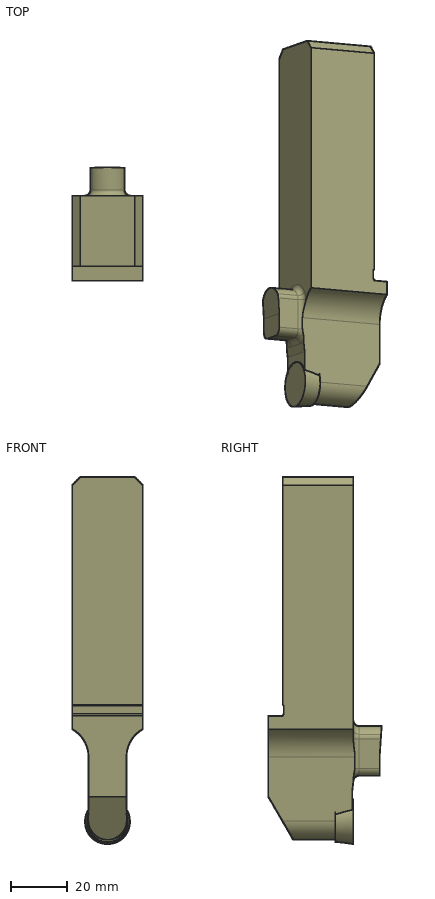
import cadquery as cq
import math

shank_width = 24.9
total_height = 129.0
total_depth = 39.9
top_chamfer = 3.0

head_depth = 29.9
shoulder_z = 45.0
relief_top_z = 49.0
relief_depth = 0.4
corner_height = 0.8
flare_top_z = 40.4
flare_bottom_z = 30.7
blade_half_width = 6.7
blade_bottom_z = 1.5
nose_slope_top_z = 16.6
nose_bottom_depth = 21.2
face_slope_top_z = 21.9
face_slope_bottom_z = 18.7
face_relief = 0.4

boss_half_width = 6.0
boss_bottom_z = 24.0
boss_top_radius = 6.8
boss_top_z = 41.5
boss_corner_radius = 2.7
boss_flat_length = 9.3
boss_slope_start_z = 31.6
boss_fillet = 1.9

insert_radius = 7.93
insert_back_radius = 7.16
insert_thickness = 6.3

half_width = shank_width / 2
boss_length = total_depth - head_depth
boss_side_top_z = boss_top_z - boss_top_radius + math.sqrt(boss_top_radius**2 - boss_half_width**2)
flare_side = half_width - blade_half_width
flare_height = flare_top_z - flare_bottom_z
flare_radius = (flare_side**2 + flare_height**2) / (2 * flare_side)
flare_angle = math.asin(flare_height / flare_radius)


def make_silhouette():
    """Width profile: chamfered shank, flared neck and round-ended blade."""
    flare_middle_x = blade_half_width + flare_radius * (1 - math.cos(flare_angle / 2))
    flare_middle_z = flare_bottom_z + flare_radius * math.sin(flare_angle / 2)
    blade_round_z = blade_bottom_z + blade_half_width
    top_half_width = half_width - top_chamfer
    return (
        cq.Workplane("XZ")
        .moveTo(-blade_half_width, blade_round_z)
        .threePointArc((0, blade_bottom_z), (blade_half_width, blade_round_z))
        .lineTo(blade_half_width, flare_bottom_z)
        .threePointArc((flare_middle_x, flare_middle_z), (half_width, flare_top_z))
        .lineTo(half_width, total_height - top_chamfer)
        .lineTo(top_half_width, total_height)
        .lineTo(-top_half_width, total_height)
        .lineTo(-half_width, total_height - top_chamfer)
        .lineTo(-half_width, flare_top_z)
        .threePointArc((-flare_middle_x, flare_middle_z), (-blade_half_width, flare_bottom_z))
        .close()
        .extrude(total_depth, both=True)
    )


def make_side_slab():
    """Depth profile with the shoulder, its relief and the sloped nose."""
    relief_y = -shank_width + relief_depth
    outline = [
        (0, total_height),
        (0, face_slope_top_z),
        (-face_relief, face_slope_bottom_z),
        (-face_relief, blade_bottom_z),
        (-nose_bottom_depth, blade_bottom_z),
        (-head_depth, nose_slope_top_z),
        (-head_depth, shoulder_z),
        (relief_y - relief_depth, shoulder_z),
        (relief_y, shoulder_z + corner_height),
        (relief_y, relief_top_z - relief_depth),
        (-shank_width, relief_top_z),
        (-shank_width, total_height),
    ]
    return cq.Workplane("YZ").polyline(outline).close().extrude(half_width, both=True)


def make_boss():
    """Round-topped boss with rounded corners and a partly sloped end."""
    boss = (
        cq.Workplane("XZ")
        .moveTo(-boss_half_width, boss_bottom_z)
        .lineTo(boss_half_width, boss_bottom_z)
        .lineTo(boss_half_width, boss_side_top_z)
        .threePointArc((0, boss_top_z), (-boss_half_width, boss_side_top_z))
        .close()
        .extrude(-boss_length)
        .edges("|Y").fillet(boss_corner_radius)
    )
    end_waste = (
        cq.Workplane("YZ")
        .polyline([
            (boss_flat_length, 0),
            (boss_flat_length, boss_slope_start_z),
            (boss_length, boss_top_z),
            (boss_length, 0),
        ])
        .close()
        .extrude(half_width, both=True)
    )
    return boss.cut(end_waste)


def make_insert():
    """Round cutting insert, tapering away from its cutting face at Y = 0."""
    return (
        cq.Workplane("XZ")
        .center(0, insert_radius)
        .circle(insert_radius)
        .workplane(offset=insert_thickness)
        .circle(insert_back_radius)
        .loft(combine=True)
    )


def make_holder(seated_insert):
    """Tool holder: filleted boss root trimmed by the blade, pocket for the insert."""
    blank = make_side_slab().union(make_boss())
    root_edges = cq.selectors.BoxSelector(
        (-half_width, -face_relief, boss_bottom_z - boss_fillet),
        (half_width, face_relief, boss_top_z + boss_fillet),
        boundingbox=True,
    )
    blank = blank.edges(root_edges).fillet(boss_fillet)
    return blank.intersect(make_silhouette()).cut(seated_insert)


insert = make_insert()
holder = make_holder(insert)

result = cq.Compound.makeCompound([holder.val(), insert.val()])